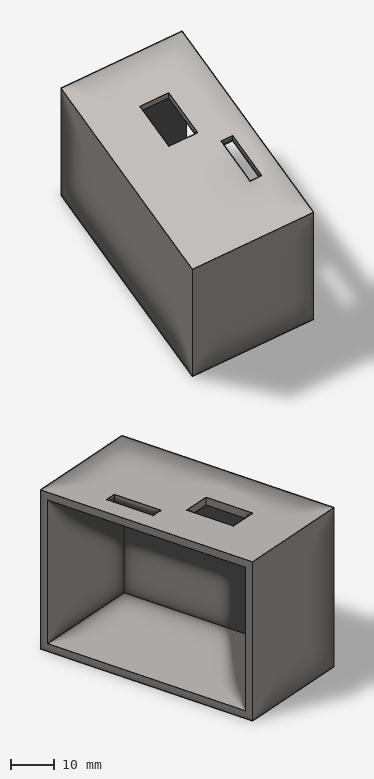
import cadquery as cq

length = 59.4
depth = 32.0
height = 41.2
wall = 2.0

window_length = 13.05
wide_window_depth = 7.6
narrow_window_depth = 3.0
wide_window_left = 13.55
narrow_window_left = 31.35
wide_window_back = 11.45
narrow_window_back = 5.0


def make_shell():
    """Box with walls on five sides, open at the back (+Y)."""
    outer = cq.Workplane("XY").box(length, depth, height, centered=False)
    cavity = (
        cq.Workplane("XY")
        .box(length - 2 * wall, depth - wall, height - 2 * wall, centered=False)
        .translate((wall, wall, wall))
    )
    return outer.cut(cavity)


def top_window(left, back, window_depth):
    """Cutter for a window in the top wall, placed from the left side and the back."""
    return (
        cq.Workplane("XY")
        .box(window_length, window_depth, wall, centered=False)
        .translate((left, depth - back - window_depth, height - wall))
    )


result = (
    make_shell()
    .cut(top_window(wide_window_left, wide_window_back, wide_window_depth))
    .cut(top_window(narrow_window_left, narrow_window_back, narrow_window_depth))
)